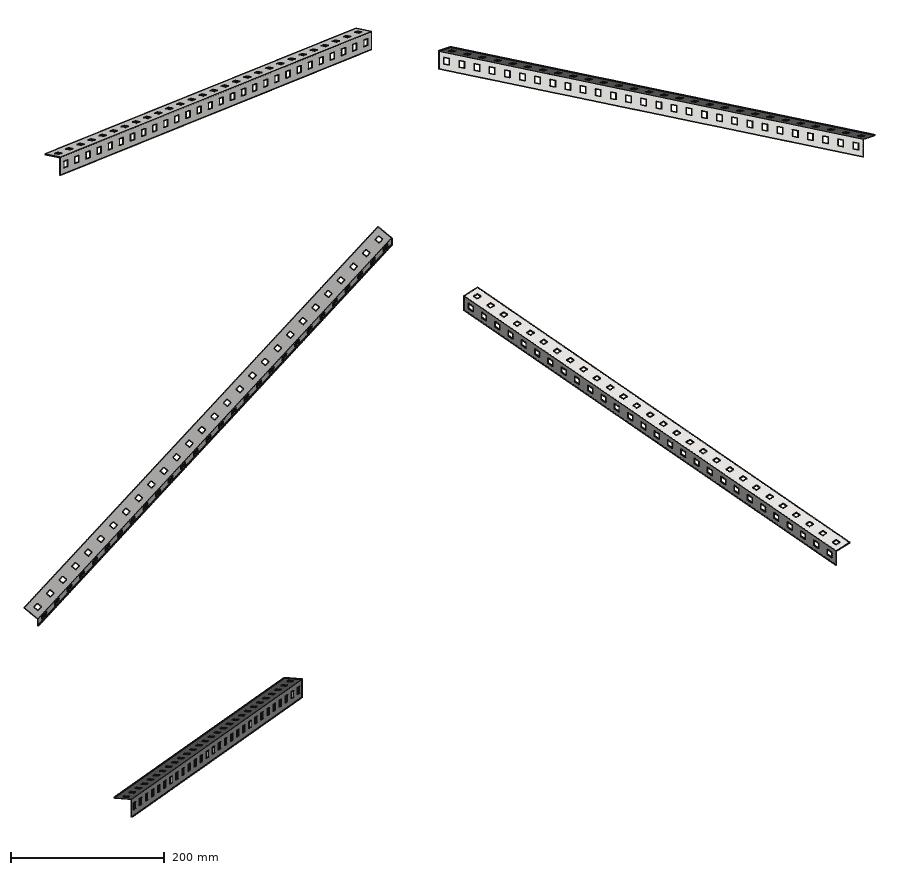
import cadquery as cq

LEG_WIDTH = 25.0
LENGTH = 700.0
THICKNESS = 1.5

HOLE_PITCH = 25.0
HOLE_COUNT = int(LENGTH / HOLE_PITCH)
TOP_HOLE_SIZE = 7.0
SIDE_HOLE_SIZE = 9.0

HALF_WIDTH = LEG_WIDTH / 2
INNER_FACE = HALF_WIDTH - THICKNESS


def angle_bar():
    """Extrude the L-shaped section along Y, centred on the origin."""
    outline = [
        (-HALF_WIDTH, HALF_WIDTH),
        (HALF_WIDTH, HALF_WIDTH),
        (HALF_WIDTH, -HALF_WIDTH),
        (INNER_FACE, -HALF_WIDTH),
        (INNER_FACE, INNER_FACE),
        (-HALF_WIDTH, INNER_FACE),
    ]
    return cq.Workplane("XZ").polyline(outline).close().extrude(LENGTH / 2, both=True)


def top_leg_holes():
    """Row of square cutters through the thickness of the top leg."""
    return (
        cq.Workplane("XY", origin=(0, 0, INNER_FACE))
        .rarray(LEG_WIDTH, HOLE_PITCH, 1, HOLE_COUNT)
        .rect(TOP_HOLE_SIZE, TOP_HOLE_SIZE)
        .extrude(THICKNESS)
    )


def side_leg_holes():
    """Row of square cutters through the thickness of the side leg."""
    return (
        cq.Workplane("YZ", origin=(INNER_FACE, 0, 0))
        .rarray(HOLE_PITCH, LEG_WIDTH, HOLE_COUNT, 1)
        .rect(SIDE_HOLE_SIZE, SIDE_HOLE_SIZE)
        .extrude(THICKNESS)
    )


result = angle_bar().cut(top_leg_holes()).cut(side_leg_holes())